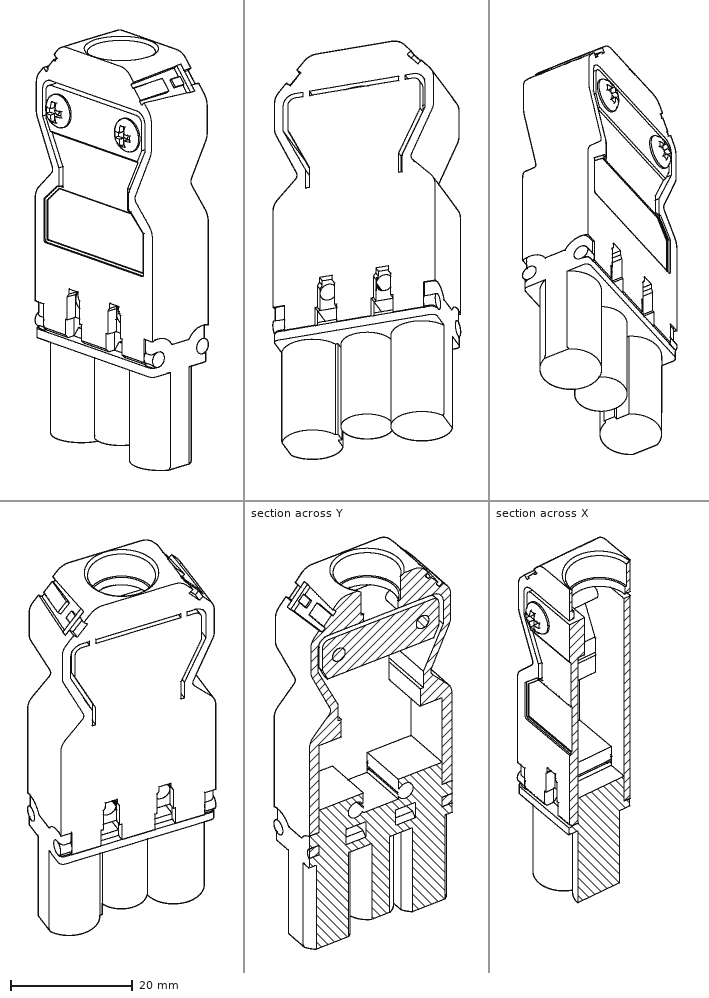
import cadquery as cq
import math


margin = 1.0

total_height = 69.4
half_width = 14.2
front_y = -6.1
back_y = 6.5
housing_bottom_z = 18.57
shoulder_z = 42.45
waist_half_width = 9.8
waist_z = 47.05
head_half_width = 13.94
head_bottom_z = 55.95
head_top_z = 62.5
top_half_width = 7.9
corner_radius = 3.0
waist_radius = 1.1
draft_angle = 0.3

entry_y = 0.12
entry_radius = 5.6
entry_rim_chamfer = 0.55
entry_throat_radius = 5.25
entry_ledge_z = 64.2

slot_bottom_z = 44.6
opening_half_width = 12.37
opening_neck_half_width = 8.43
opening_top_z = 62.6
opening_neck_z = 47.9
opening_radius = 2.0
tab_half_width = 11.57
tab_neck_half_width = 7.8
tab_top_z = 61.8
tab_neck_z = 48.2
tab_radius = 1.3
tab_step_z = 53.8
tab_step_depth = 0.3
clamp_inner_y = -2.95
rib_x = 8.35
rib_width = 1.15

cavity_half_width = 12.15
cavity_front_y = -4.2
cavity_back_y = 5.2
cavity_top_z = 41.0

label_half_width = 12.05
label_bottom_z = 34.05
label_side_z = 41.6
label_top_half_width = 8.9
label_ledge_width = 0.45
label_floor_top_z = 44.2
label_floor_depth = 0.5
label_corner_radius = 0.5

window_x = 4.91
window_top_half_width = 1.1
window_half_width = 1.5
window_foot_half_width = 1.9
window_top_z = 27.4
window_neck_z = 26.5
window_waist_z = 25.9
window_foot_z = 21.9
probe_hole_z = 25.1
probe_hole_radius = 1.47
foot_ledge_z = 19.75
foot_ledge_depth = 1.0

latch_bar_length = 5.1
latch_mouth_length = 3.9
latch_depth = 0.9
latch_back_y = 4.9
latch_bar_width = 0.95
latch_plate_length = 2.4
latch_plate_front_height = 0.3
latch_plate_back_height = 0.75
latch_catch_length = 1.5
latch_catch_width = 2.0
latch_catch_height = 0.4
latch_notch_length = 2.8

flange_bottom_z = 17.0
flange_front_y = -6.18
flange_back_y = 6.4
edge_radius = 0.9
lip_chamfer = 0.6
block_top_z = 28.0
block_groove_width = 6.9
block_groove_depth = 4.0
ear_front_y = -5.8
ear_back_y = 6.1
ear_saddle_z = 21.8
ear_lobe_radius = 3.6
pivot_z = 19.9
pivot_radius = 1.33
pivot_front_y = front_y + pivot_radius
pivot_back_y = back_y - pivot_radius

side_barrel_radius = 5.1
side_barrel_x = 9.55
middle_barrel_radius = 4.33
middle_barrel_z = 1.67
key_inner_x = 4.4
key_width = 2.0
key_relief_x = 5.05
barrel_bevel_height = 0.5
barrel_bevel_depth = 0.12

screw_x = 8.3
screw_z = 57.9
screw_head_radius = 2.85
screw_head_height = 1.46
screw_rim_height = 0.3
screw_crown_radius = 1.2
screw_shoulder_radius = 2.25
screw_shoulder_height = 1.02
shank_radius = 1.2
shank_end_wall = 0.6
shank_end_y = back_y - shank_end_wall
cross_length = 3.5
cross_width = 1.1
cross_depth = 0.9
pit_radius = 0.8
pit_taper = 30.0
pit_depth = 1.1


def box(x_from, x_to, y_from, y_to, z_from, z_to):
    size = (x_to - x_from, y_to - y_from, z_to - z_from)
    return cq.Workplane().box(*size, centered=False).translate((x_from, y_from, z_from))


def prism(points, y_from, y_to):
    """Extrude an X-Z outline along Y."""
    return cq.Workplane("XZ", origin=(0, y_from, 0)).polyline(points).close().extrude(y_from - y_to)


def rod_y(x, z, radius, y_from, y_to):
    """Round rod along Y."""
    return cq.Workplane("XZ", origin=(x, y_from, z)).circle(radius).extrude(y_from - y_to)


def rod_x(y, z, radius, x_from, x_to):
    """Round rod along X."""
    return cq.Workplane("YZ", origin=(x_from, y, z)).circle(radius).extrude(x_to - x_from)


def rod_z(x, y, radius, z_from, z_to):
    """Round rod along Z."""
    return cq.Workplane("XY", origin=(x, y, z_from)).circle(radius).extrude(z_to - z_from)


def mirrored(right_side):
    """Complete a symmetric outline from its right half."""
    return right_side + [(-x, z) for x, z in reversed(right_side)]


def both_sides(right_body):
    """Return the body together with its mirror image across X = 0."""
    return right_body.union(right_body.mirror("YZ"))


def corners_between(z_low, z_high):
    """Selector for the outline corners within a band of heights."""
    reach = half_width + margin
    return cq.selectors.BoxSelector((-reach, z_low, -margin), (reach, z_high, margin))


def shell_half(y_end):
    """One moulded half, drafted away from the moulding plane."""
    outline = mirrored([
        (half_width, housing_bottom_z),
        (half_width, shoulder_z),
        (waist_half_width, waist_z),
        (head_half_width, head_bottom_z),
        (head_half_width, head_top_z),
        (top_half_width, total_height),
    ])
    waist = corners_between(waist_z - margin, waist_z + margin)
    head = corners_between(head_bottom_z - margin, total_height + margin)
    shoulders = corners_between(shoulder_z - margin, shoulder_z + margin)
    sketch = cq.Sketch().polygon(outline + outline[:1])
    sketch.vertices(waist).fillet(waist_radius).reset()
    sketch.vertices(head + shoulders).fillet(corner_radius)
    half = cq.Workplane("XZ").placeSketch(sketch).extrude(abs(y_end), taper=draft_angle)
    return half.mirror("XZ") if y_end > 0 else half


def neck_outline(side, neck_side, top_z, neck_z):
    return mirrored([
        (neck_side, slot_bottom_z),
        (neck_side, neck_z),
        (side, head_bottom_z),
        (side, top_z),
    ])


def neck_prism(side, neck_side, top_z, neck_z, radius, y_from, y_to):
    body = prism(neck_outline(side, neck_side, top_z, neck_z), y_from, y_to)
    return body.faces(">Z").edges("|Y").fillet(radius)


def tab_prism(y_from, y_to):
    """Plate that leaves a slot all round inside the neck opening."""
    return neck_prism(tab_half_width, tab_neck_half_width, tab_top_z, tab_neck_z, tab_radius, y_from, y_to)


def tab_step():
    """Shallow step in the front face that runs from the clamp bar down to the label recess."""
    floor_y = front_y + tab_step_depth
    profile = [(front_y, slot_bottom_z), (front_y, tab_step_z),
               (floor_y, tab_step_z - tab_step_depth), (floor_y, slot_bottom_z)]
    return cq.Workplane("YZ", origin=(-half_width, 0, 0)).polyline(profile).close().extrude(2 * half_width)


def clamp_parts():
    """Front clamp tab, back plate and the ribs that hold the plate's upper end."""
    tab = tab_prism(front_y, cavity_front_y)
    thick_bar = tab_prism(front_y, clamp_inner_y).intersect(
        box(-half_width, half_width, front_y, 0, tab_step_z, total_height))
    parts = tab.union(thick_bar).cut(tab_step()).union(tab_prism(cavity_back_y, back_y))
    ribs = both_sides(box(rib_x - rib_width / 2, rib_x + rib_width / 2, cavity_back_y, back_y,
                          tab_top_z - tab_radius, opening_top_z + margin))
    return parts.union(ribs)


def cable_entry():
    """Cable hole through the top wall, bevelled at its rim and narrower at its lower end."""
    bore = rod_z(0, entry_y, entry_radius, entry_ledge_z, total_height)
    throat = rod_z(0, entry_y, entry_throat_radius, opening_top_z, entry_ledge_z)
    rim = cq.Workplane("XY", origin=(0, entry_y, total_height)).circle(entry_radius + entry_rim_chamfer)
    return bore.union(throat).union(rim.extrude(-entry_rim_chamfer, taper=45))


def label_recess():
    """Shallow recess level with the stepped tab, with a slightly deeper floor inside a narrow ledge."""
    ledge_outline = mirrored([
        (label_half_width, label_bottom_z),
        (label_half_width, label_side_z),
        (label_top_half_width, slot_bottom_z),
    ])
    ledge = prism(ledge_outline, front_y, front_y + tab_step_depth)
    ledge = ledge.faces("<Z").edges("|Y").fillet(label_corner_radius)
    floor = cq.Workplane("XZ", origin=(0, front_y, 0)).polyline(ledge_outline).close()
    floor = floor.offset2D(-label_ledge_width).extrude(-label_floor_depth)
    top_limit = box(-half_width, half_width, front_y, 0, label_bottom_z, label_floor_top_z)
    return ledge.union(floor.intersect(top_limit))


def window(x):
    outline = mirrored([
        (window_foot_half_width, flange_bottom_z),
        (window_foot_half_width, window_foot_z),
        (window_half_width, window_foot_z),
        (window_half_width, window_waist_z),
        (window_top_half_width, window_neck_z),
        (window_top_half_width, window_top_z),
    ])
    return prism(outline, front_y - margin, back_y + margin).translate((x, 0, 0))


def on_right_slope(body):
    """Place a body modelled about the origin (X along the slope, Z outward) on the right corner slope."""
    drop = head_top_z - total_height
    angle = math.degrees(math.atan2(drop, head_half_width - top_half_width))
    middle = ((head_half_width + top_half_width) / 2, 0, (head_top_z + total_height) / 2)
    return body.rotate((0, 0, 0), (0, 1, 0), -angle).translate(middle)


def slope_block(length, y_from, y_to, z_from, z_to):
    return on_right_slope(box(-length / 2, length / 2, y_from, y_to, z_from, z_to))


def add_latches(body):
    """Latch recess with a cross bar, a raised plate and a catch on each sloping corner."""
    mouth = latch_mouth_length / 2
    bar_half = latch_bar_length / 2
    recess_outline = [(-mouth, front_y), (mouth, front_y),
                      (bar_half, latch_back_y), (-bar_half, latch_back_y)]
    recess = cq.Workplane(origin=(0, 0, -latch_depth)).polyline(recess_outline).close()
    recess = recess.extrude(latch_depth + margin)
    notch = slope_block(latch_notch_length, latch_back_y, back_y + margin, -latch_depth, margin)

    ramp = [(front_y, -latch_depth), (front_y, latch_plate_front_height - latch_depth),
            (0, latch_plate_back_height - latch_depth), (0, -latch_depth)]
    plate = cq.Workplane("YZ", origin=(-latch_plate_length / 2, 0, 0)).polyline(ramp).close()
    plate = on_right_slope(plate.extrude(latch_plate_length))
    bar_y = latch_back_y - latch_bar_width
    bar = slope_block(latch_bar_length, bar_y, latch_back_y, -latch_depth, 0)
    catch = slope_block(latch_catch_length, bar_y - latch_catch_width, bar_y,
                        -latch_depth, latch_catch_height - latch_depth)
    fillings = plate.union(bar).union(catch)
    return body.cut(both_sides(on_right_slope(recess).union(notch))).union(both_sides(fillings))


def ear_profile(y_front, y_back, x_inner):
    """Right-hand ear: a saddle between two lobes around the pivots."""
    lobes = rod_x(pivot_front_y, pivot_z, ear_lobe_radius, x_inner, half_width)
    lobes = lobes.union(rod_x(pivot_back_y, pivot_z, ear_lobe_radius, x_inner, half_width))
    saddle = box(x_inner, half_width, y_front, y_back, flange_bottom_z, ear_saddle_z)
    limits = box(x_inner, half_width, y_front, y_back, flange_bottom_z, total_height)
    return saddle.union(lobes).intersect(limits)


def pivots():
    """Four short pins on which the insert's ears are held."""
    front_pin = rod_x(pivot_front_y, pivot_z, pivot_radius, cavity_half_width, half_width)
    back_pin = rod_x(pivot_back_y, pivot_z, pivot_radius, cavity_half_width, half_width)
    return both_sides(front_pin.union(back_pin))


def front_lip():
    """Bevel along the lower front edge."""
    profile = [(front_y, housing_bottom_z), (front_y, housing_bottom_z + lip_chamfer),
               (front_y + lip_chamfer, housing_bottom_z)]
    return cq.Workplane("YZ", origin=(-half_width, 0, 0)).polyline(profile).close().extrude(2 * half_width)


def make_housing():
    body = shell_half(front_y).union(shell_half(back_y))
    body = body.cut(neck_prism(opening_half_width, opening_neck_half_width, opening_top_z, opening_neck_z,
                               opening_radius, front_y - margin, back_y + margin))
    body = body.union(clamp_parts())
    body = body.cut(box(-cavity_half_width, cavity_half_width, cavity_front_y, cavity_back_y,
                        flange_bottom_z, cavity_top_z))
    body = body.cut(box(-tab_neck_half_width, tab_neck_half_width, cavity_front_y, cavity_back_y,
                        cavity_top_z, slot_bottom_z))
    body = body.cut(cable_entry()).cut(label_recess())
    for x in (-window_x, window_x):
        body = body.cut(window(x))
    body = add_latches(body)
    body = body.cut(front_lip())
    body = body.cut(both_sides(ear_profile(front_y - margin, back_y + margin, cavity_half_width)))
    body = body.union(pivots())
    for x in (-screw_x, screw_x):
        body = body.cut(rod_y(x, screw_z, shank_radius, front_y, shank_end_y))
    return body


def side_barrel(x):
    """Barrel flattened on its outer side, with a slight bevel at the flat's lower edge."""
    barrel = rod_z(x, 0, side_barrel_radius, 0, flange_bottom_z)
    tip_half_width = half_width - barrel_bevel_depth
    limits = mirrored([(tip_half_width, 0), (half_width, barrel_bevel_height), (half_width, flange_bottom_z)])
    return barrel.intersect(prism(limits, -side_barrel_radius, side_barrel_radius))


def coding_key():
    """Rib on the inner side of the right-hand barrel."""
    return box(key_inner_x, side_barrel_x, 0, key_width, 0, flange_bottom_z)


def key_relief():
    """Flat in front of the coding key."""
    return box(0, key_relief_x, -side_barrel_radius, 0, 0, flange_bottom_z)


def probe_passage(x):
    """Round probe hole above a rectangular slot with a sloping sill, right through the block."""
    hole = rod_y(x, probe_hole_z, probe_hole_radius, cavity_front_y, cavity_back_y)
    slot = box(x - window_foot_half_width, x + window_foot_half_width, cavity_front_y, cavity_back_y,
               foot_ledge_z, window_foot_z)
    sill = [(cavity_front_y, housing_bottom_z), (cavity_front_y, foot_ledge_z),
            (cavity_front_y + foot_ledge_depth, foot_ledge_z)]
    slope = cq.Workplane("YZ", origin=(x - window_foot_half_width, 0, 0)).polyline(sill).close()
    return hole.union(slot).union(slope.extrude(2 * window_foot_half_width))


def make_insert():
    body = box(-half_width, half_width, flange_front_y, flange_back_y, flange_bottom_z, housing_bottom_z)
    body = body.edges("|Z").fillet(edge_radius)
    body = body.union(box(-cavity_half_width, cavity_half_width, cavity_front_y, cavity_back_y,
                          housing_bottom_z, block_top_z))
    ear = ear_profile(ear_front_y, ear_back_y, cavity_half_width)
    ear = ear.intersect(box(0, half_width, ear_front_y, ear_back_y, flange_bottom_z, total_height)
                        .edges("|Z and >X").fillet(edge_radius))
    body = body.union(both_sides(ear)).cut(pivots())
    body = body.cut(box(-block_groove_width / 2, block_groove_width / 2, cavity_front_y, cavity_back_y,
                        block_top_z - block_groove_depth, block_top_z))
    for x in (-window_x, window_x):
        body = body.cut(probe_passage(x))
    left_barrel = side_barrel(-side_barrel_x)
    middle_barrel = rod_z(0, 0, middle_barrel_radius, middle_barrel_z, flange_bottom_z)
    right_barrel = side_barrel(side_barrel_x).cut(key_relief()).union(coding_key())
    return body.union(left_barrel).union(middle_barrel).union(right_barrel)


def make_screw(x):
    """Pan-head cross-recess screw pointing along +Y."""
    head_y = front_y - screw_head_height
    rim_y = front_y - screw_rim_height
    dome_middle = (screw_shoulder_radius, front_y - screw_shoulder_height)
    profile = (
        cq.Workplane("XY")
        .moveTo(0, shank_end_y)
        .lineTo(shank_radius, shank_end_y)
        .lineTo(shank_radius, front_y)
        .lineTo(screw_head_radius, front_y)
        .lineTo(screw_head_radius, rim_y)
        .threePointArc(dome_middle, (screw_crown_radius, head_y))
        .lineTo(0, head_y)
        .close()
    )
    screw = profile.revolve(360, (0, 0, 0), (0, 1, 0))
    arm = cq.Workplane().box(cross_length, 2 * cross_depth, cross_width)
    cross = arm.union(arm.rotate((0, 0, 0), (0, 1, 0), 90)).translate((0, head_y, 0))
    pit = cq.Workplane("XZ", origin=(0, head_y + cross_depth / 2, 0)).circle(pit_radius)
    pit = pit.extrude(-pit_depth, taper=pit_taper)
    return screw.cut(cross).cut(pit).translate((x, 0, screw_z))


housing = make_housing()
insert = make_insert()
screws = [make_screw(x) for x in (-screw_x, screw_x)]

result = cq.Compound.makeCompound([housing.val(), insert.val(), *[screw.val() for screw in screws]])